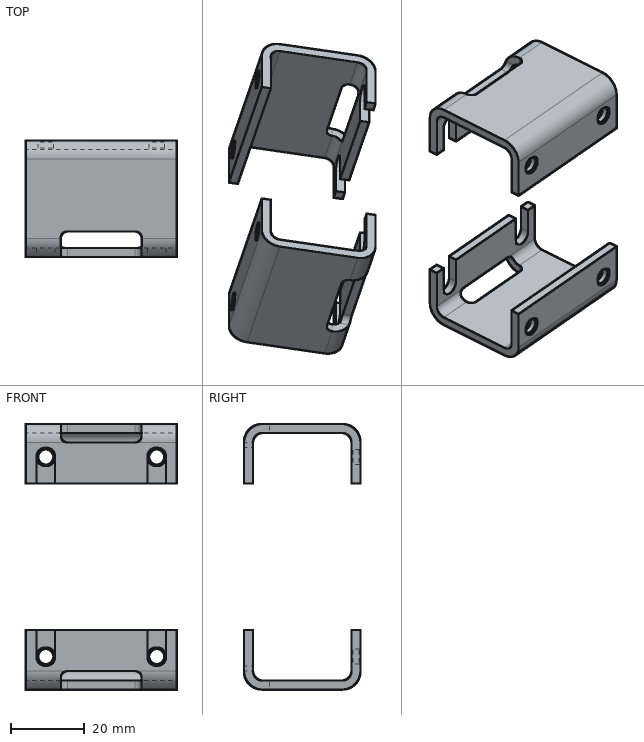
import cadquery as cq

LENGTH = 41.0
WIDTH = 31.6
TOTAL_HEIGHT = 72.0

THICKNESS = 2.5
OUTER_BEND_RADIUS = 5.05
INNER_BEND_RADIUS = OUTER_BEND_RADIUS - THICKNESS
LEG_HEIGHT = 16.2

WINDOW_LENGTH = 21.9
WINDOW_DEPTH = 6.9
WINDOW_HEIGHT = OUTER_BEND_RADIUS
WINDOW_CORNER_RADIUS = 1.8

FASTENER_SPACING = 30.0
FASTENER_DROP = 9.0
SLOT_WIDTH = 5.1
HOLE_DIAMETER = 4.1
COUNTERSINK_DEPTH = 0.4

WEB_Z = TOTAL_HEIGHT / 2
LEG_END_Z = WEB_Z - LEG_HEIGHT
FASTENER_Z = WEB_Z - FASTENER_DROP
FRONT_Y = -WIDTH / 2
REAR_INNER_Y = WIDTH / 2 - THICKNESS
FASTENER_XS = (-FASTENER_SPACING / 2, FASTENER_SPACING / 2)


def rounded_channel_block(width, top_z, radius):
    """Full-length block ending at the leg tips, with both top long edges rounded."""
    height = top_z - LEG_END_Z
    return (
        cq.Workplane("XY")
        .box(LENGTH, width, height, centered=(True, True, False))
        .translate((0, 0, LEG_END_Z))
        .edges("|X and >Z")
        .fillet(radius)
    )


def bent_channel():
    outside = rounded_channel_block(WIDTH, WEB_Z, OUTER_BEND_RADIUS)
    inside = rounded_channel_block(WIDTH - 2 * THICKNESS, WEB_Z - THICKNESS, INNER_BEND_RADIUS)
    return outside.cut(inside)


def window_cutter():
    """Block that opens the front bend, rounded at its corners in the web and in the leg."""
    return (
        cq.Workplane("XY")
        .box(WINDOW_LENGTH, WINDOW_DEPTH, WINDOW_HEIGHT, centered=(True, False, False))
        .translate((0, FRONT_Y, WEB_Z - WINDOW_HEIGHT))
        .edges("(|Z and >Y) or (|Y and <Z)")
        .fillet(WINDOW_CORNER_RADIUS)
    )


def slot_cutter(x):
    """Round-ended slot through the front leg, open at the leg tip."""
    half_width = SLOT_WIDTH / 2
    return (
        cq.Workplane("XZ", origin=(x, FRONT_Y + THICKNESS, 0))
        .moveTo(-half_width, LEG_END_Z)
        .lineTo(-half_width, FASTENER_Z)
        .threePointArc((0, FASTENER_Z + half_width), (half_width, FASTENER_Z))
        .lineTo(half_width, LEG_END_Z)
        .close()
        .extrude(THICKNESS)
    )


def hole_cutter(x):
    """Hole through the rear leg, countersunk on both faces."""
    bore_radius = HOLE_DIAMETER / 2
    rim_radius = bore_radius + COUNTERSINK_DEPTH
    bore_end = THICKNESS - COUNTERSINK_DEPTH
    return (
        cq.Workplane("XY", origin=(x, REAR_INNER_Y, FASTENER_Z))
        .lineTo(rim_radius, 0)
        .lineTo(bore_radius, COUNTERSINK_DEPTH)
        .lineTo(bore_radius, bore_end)
        .lineTo(rim_radius, THICKNESS)
        .lineTo(0, THICKNESS)
        .close()
        .revolve(360, (0, 0, 0), (0, 1, 0))
    )


def make_upper_bracket():
    bracket = bent_channel().cut(window_cutter())
    for x in FASTENER_XS:
        bracket = bracket.cut(slot_cutter(x))
        bracket = bracket.cut(hole_cutter(x))
    return bracket


upper_bracket = make_upper_bracket()
lower_bracket = upper_bracket.mirror("XY")

result = cq.Compound.makeCompound([*upper_bracket.solids().vals(), *lower_bracket.solids().vals()])